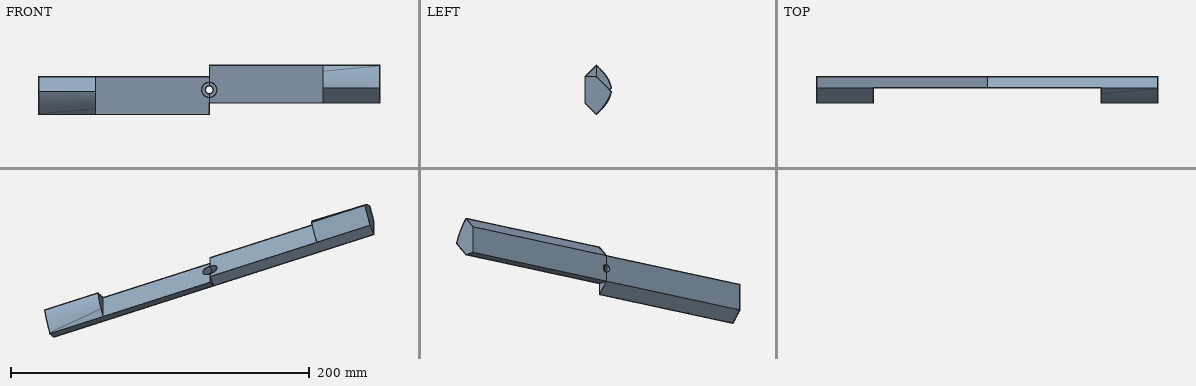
import cadquery as cq

bar_length = 114.3
bar_height = 25.4
plate_thickness = 7.62
bevel = plate_thickness

grip_length = 38.1
grip_depth = 10.16
crest_height = bar_height - grip_depth
inner_flat = 4.0
outer_flat = 0.45

pivot_height = (bar_height + bevel) / 2
hole_diameter = 5.08
counterbore_diameter = 10.16
counterbore_depth = 5.08


def make_plate():
    """Flat bar with its lower back edge beveled to a knife edge at the front face."""
    profile = [
        (0, 0),
        (0, bar_height),
        (plate_thickness, bar_height),
        (plate_thickness, bevel),
    ]
    return cq.Workplane("YZ").polyline(profile).close().extrude(bar_length)


def grip_section(x, flat):
    """Grip outline at x: a 45 degree lower flat, a tangent arc to the crest and a 45 degree upper flank.

    Both flanks run on behind the front face of the plate, so the outline can be trimmed there.
    """
    run_on = plate_thickness
    bottom = cq.Vector(x, run_on, -run_on)
    arc_start = cq.Vector(x, -flat, flat)
    crest = cq.Vector(x, -grip_depth, crest_height)
    top = cq.Vector(x, run_on, bar_height + run_on)
    return cq.Wire.assembleEdges([
        cq.Edge.makeLine(bottom, arc_start),
        cq.Edge.makeTangentArc(arc_start, cq.Vector(0, -1, 1), crest),
        cq.Edge.makeLine(crest, top),
        cq.Edge.makeLine(top, bottom),
    ])


def make_grip():
    """Ruled body between the outer and inner outlines, trimmed at the plate's front face."""
    sections = [grip_section(0, outer_flat), grip_section(grip_length, inner_flat)]
    blend = cq.Workplane(obj=cq.Solid.makeLoft(sections, True))
    front_space = cq.Workplane("XY").box(
        grip_length, grip_depth, bar_height, centered=False
    ).translate((0, -grip_depth, 0))
    return blend.intersect(front_space)


def make_pivot_cutter():
    """Through hole along Y with a counterbore sunk from the front face."""
    front = cq.Workplane("XZ", origin=(bar_length, 0, pivot_height))
    hole = front.circle(hole_diameter / 2).extrude(-plate_thickness)
    counterbore = front.circle(counterbore_diameter / 2).extrude(-counterbore_depth)
    return hole.union(counterbore)


left_bar = make_plate().union(make_grip()).cut(make_pivot_cutter())

pivot_front = (bar_length, 0, pivot_height)
pivot_back = (bar_length, plate_thickness, pivot_height)
right_bar = left_bar.rotate(pivot_front, pivot_back, 180)

result = cq.Compound.makeCompound([left_bar.val(), right_bar.val()])